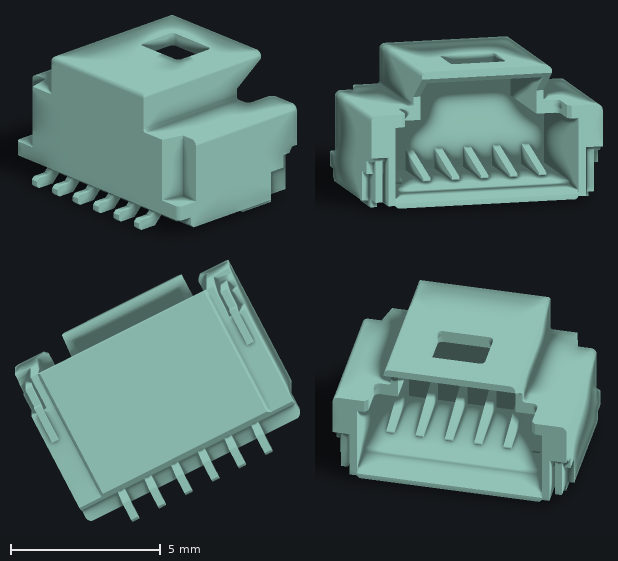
import cadquery as cq
import math


width = 8.0
depth = 5.36
height = 4.7
shelf_top = 3.3
side_bottom = 0.2
edge_radius = 0.2
inner_radius = edge_radius / 2

tower_width = 4.5
tower_wall = 0.24
roof = 0.44
mouth_roof = 0.26
relief_depth = 1.1
relief_back = depth - relief_depth
relief_top = 3.65
notch_half_width = 2.8

base_bottom = 0.1
base_half_width = 3.17
lip_bottom = 0.6
lip_depth = 0.54
base_chamfer = 0.22

corner_floor = 1.1
corner_depth = 0.76
corner_back_width = 0.64
corner_front_width = 0.83

cavity_front = 1.0
floor_high = 0.51
floor_step = 0.11
floor_low = floor_high - floor_step
mouth_flare = 0.12

window_width = 1.9
window_front = 2.79
window_back = 4.32
window_radius = 0.16

nail_inset = 0.22
nail_thickness = 0.24
nail_gap = 0.12
pocket_depth = nail_inset + nail_thickness + nail_gap
nail_top = 1.76
nail_bottom = 0.28
nail_back = 5.06
foot_front = 3.1
foot_back = 4.4
pocket_front = 4.18
pocket_low = 1.21
pocket_middle = 4.74
pocket_high = 1.66
pocket_mouth_top = 1.86
pocket_slope_front = 5.01
pocket_slope_back = 5.16

contact_count = 6
contact_pitch = 1.0
contact_width = 0.26
lead_tip = -0.54
lead_thickness = 0.36
lead_chamfer = 0.1
lead_bend_back = 0.14
lead_bend_run = 0.12
blade_tip = 3.26
blade_tip_radius = 0.07
blade_slope = 14.0


def block(x0, x1, y0, y1, z0, z1):
    return cq.Workplane("XY").box(x1 - x0, y1 - y0, z1 - z0, centered=False).translate((x0, y0, z0))


def side_profile(points, x0, x1):
    """Extrude a (Y, Z) outline from x0 to x1."""
    return cq.Workplane("YZ").workplane(offset=x0).polyline(points).close().extrude(x1 - x0)


def both_sides(shape):
    return shape.union(shape.mirror("YZ"))


def housing():
    half = width / 2
    tower_half = tower_width / 2
    lower = block(-half, half, 0, depth, side_bottom, corner_floor)
    lower = lower.edges("|Z and <Y").fillet(edge_radius)
    upper = block(-half, half, 0, depth, corner_floor, shelf_top)
    upper = upper.edges("|Y and >Z").fillet(edge_radius)

    tower = block(-tower_half, tower_half, 0, depth, shelf_top - inner_radius, height)
    tower = tower.faces(">Z").edges("|Y or <Y").fillet(edge_radius)
    shell = lower.union(upper).union(tower).clean()

    strip = block(tower_half, tower_half + inner_radius, 0, depth, shelf_top, shelf_top + inner_radius)
    hollow = (
        cq.Workplane("XZ")
        .center(tower_half + inner_radius, shelf_top + inner_radius)
        .circle(inner_radius)
        .extrude(-depth)
    )
    return shell.union(both_sides(strip.cut(hollow)))


def base():
    """Strip below the side walls, narrowing toward its underside."""
    slope = side_bottom - base_bottom
    outline = [
        (-base_half_width, side_bottom),
        (-base_half_width + slope, base_bottom),
        (base_half_width - slope, base_bottom),
        (base_half_width, side_bottom),
    ]
    return cq.Workplane("XZ").polyline(outline).close().extrude(-depth)


def lip_relief():
    """Space under the front lip, with the chamfer along the base behind it."""
    outline = [
        (0, 0),
        (0, lip_bottom),
        (lip_depth, lip_bottom),
        (lip_depth, base_bottom + base_chamfer),
        (lip_depth + base_chamfer, base_bottom),
        (lip_depth + base_chamfer, 0),
    ]
    return side_profile(outline, -width / 2, width / 2)


def corner_cuts():
    half = width / 2
    outline = [
        (-half, 0),
        (-half + corner_front_width, 0),
        (-half + corner_back_width, corner_depth),
        (-half, corner_depth),
    ]
    cut = cq.Workplane("XY").workplane(offset=corner_floor).polyline(outline).close()
    return both_sides(cut.extrude(shelf_top - corner_floor))


def tower_relief():
    """Undercut of the tower above the shelves at the mouth."""
    outline = [
        (relief_back, shelf_top - roof),
        (relief_back, relief_top),
        (depth, height - mouth_roof),
        (depth, shelf_top - roof),
    ]
    return side_profile(outline, -tower_width / 2, tower_width / 2)


def shelf_notch():
    """Round-cornered notch in the shelves, flared at the mouth."""
    bottom = shelf_top - roof
    top = shelf_top + inner_radius
    notch = block(-notch_half_width, notch_half_width, relief_back, depth, bottom, top)
    notch = notch.edges("|Z and <Y").fillet(edge_radius)
    flare = [
        (-notch_half_width, depth - mouth_flare),
        (-notch_half_width - mouth_flare, depth),
        (notch_half_width + mouth_flare, depth),
        (notch_half_width, depth - mouth_flare),
    ]
    flare_cut = cq.Workplane("XY").workplane(offset=bottom).polyline(flare).close().extrude(top - bottom)
    return notch.union(flare_cut)


def cavity():
    floor_outline = [
        (cavity_front, shelf_top - roof),
        (cavity_front, floor_high),
        (relief_back - floor_step, floor_high),
        (relief_back, floor_low),
        (depth - mouth_flare, floor_low),
        (depth, floor_low - mouth_flare),
        (depth, shelf_top - roof),
    ]
    lower = side_profile(floor_outline, -base_half_width, base_half_width)
    inner_half = tower_width / 2 - tower_wall
    upper = block(-inner_half, inner_half, cavity_front, depth, shelf_top - roof, height - roof)
    return lower.union(upper)


def window():
    half = window_width / 2
    opening = block(-half, half, window_front, window_back, height - roof, height)
    return opening.edges("|Z").fillet(window_radius)


def nail_pockets():
    outline = [
        (depth, 0),
        (depth, pocket_mouth_top),
        (pocket_slope_back, pocket_mouth_top),
        (pocket_slope_front, pocket_high),
        (pocket_middle, pocket_high),
        (pocket_middle, pocket_low),
        (pocket_front, pocket_low),
        (pocket_front, 0),
    ]
    return both_sides(side_profile(outline, -width / 2, -width / 2 + pocket_depth))


def nails():
    outline = [
        (foot_front, 0),
        (foot_back, 0),
        (foot_back, nail_bottom),
        (nail_back, nail_bottom),
        (nail_back, nail_top),
        (foot_front, nail_top),
    ]
    outer = -width / 2 + nail_inset
    return both_sides(side_profile(outline, outer, outer + nail_thickness))


def contact(x):
    """Gull-wing lead under the lip and a blade rising from the cavity floor."""
    lead = [
        (lead_bend_back, lip_bottom),
        (lead_bend_back, lead_thickness + lead_bend_run),
        (lead_bend_back - lead_bend_run, lead_thickness),
        (lead_tip + lead_chamfer, lead_thickness),
        (lead_tip, lead_thickness - lead_chamfer),
        (lead_tip, lead_chamfer),
        (lead_tip + lead_chamfer, 0),
        (lip_depth - lead_thickness, 0),
        (lip_depth, lead_thickness),
        (lip_depth, lip_bottom),
    ]
    tip_center = blade_tip - blade_tip_radius
    tip_top = floor_high + 2 * blade_tip_radius
    blade_rise = (tip_center - cavity_front) * math.tan(math.radians(blade_slope))
    x0 = x - contact_width / 2
    x1 = x + contact_width / 2
    blade = (
        cq.Workplane("YZ")
        .workplane(offset=x0)
        .moveTo(cavity_front, floor_high)
        .lineTo(tip_center, floor_high)
        .threePointArc((blade_tip, floor_high + blade_tip_radius), (tip_center, tip_top))
        .lineTo(cavity_front, tip_top + blade_rise)
        .close()
        .extrude(contact_width)
    )
    return side_profile(lead, x0, x1).union(blade)


result = housing().union(base())
for cut in (lip_relief, corner_cuts, tower_relief, shelf_notch, cavity, window, nail_pockets):
    result = result.cut(cut())

result = result.union(nails())
for index in range(contact_count):
    result = result.union(contact((index - (contact_count - 1) / 2) * contact_pitch))